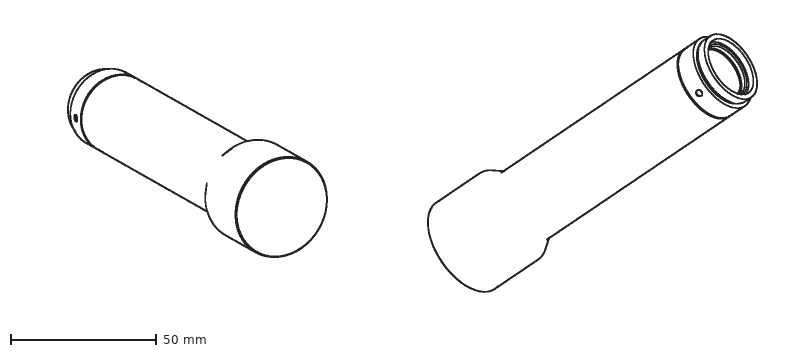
import cadquery as cq

total_length = 131.3
flange_end = 3.4
collar_start = 4.2
collar_end = 11.8
cone_start = 102.4
head_start = 109.1

flange_diameter = 25.5
neck_diameter = 24.7
body_diameter = 28.0
head_diameter = 36.0

joint_chamfer = 0.3
head_chamfer = 0.4
cone_foot_fillet = 1.5
cone_rim_fillet = 1.0

recess_diameter = 21.8
recess_depth = 2.4
window_diameter = 19.2
window_chamfer = 0.5
window_depth = 4.5
window_floor_diameter = 18.4
window_floor_depth = 4.9

screw_count = 3
screw_diameter = 2.4
screw_depth = 0.5
screw_start_angle = 62.3


def cylinder(start, end, diameter):
    """Round bar along X between two positions."""
    return cq.Workplane("YZ", origin=(start, 0, 0)).circle(diameter / 2).extrude(end - start)


def make_collar():
    collar = cylinder(collar_start, collar_end, body_diameter)
    return collar.faces(">X").chamfer(joint_chamfer)


def circle_near(position):
    """Selector for the circular edge at one position along X."""
    reach = head_diameter
    margin = 0.1
    return cq.selectors.BoxSelector(
        (position - margin, -reach, -reach),
        (position + margin, reach, reach),
    )


def make_barrel():
    """Main tube flaring through a cone into the wide head."""
    body_radius = body_diameter / 2
    head_radius = head_diameter / 2
    barrel = (
        cq.Workplane("XY")
        .moveTo(collar_end, 0)
        .lineTo(collar_end, body_radius - joint_chamfer)
        .lineTo(collar_end + joint_chamfer, body_radius)
        .lineTo(cone_start, body_radius)
        .lineTo(head_start, head_radius)
        .lineTo(total_length - head_chamfer, head_radius)
        .lineTo(total_length, head_radius - head_chamfer)
        .lineTo(total_length, 0)
        .close()
        .revolve(360, (0, 0, 0), (1, 0, 0))
    )
    barrel = barrel.edges(circle_near(cone_start)).fillet(cone_foot_fillet)
    return barrel.edges(circle_near(head_start)).fillet(cone_rim_fillet)


def make_recess():
    recess = cylinder(0, recess_depth, recess_diameter)
    window = cylinder(recess_depth, window_depth, window_diameter)
    lead_in = (
        cq.Workplane("YZ", origin=(recess_depth, 0, 0))
        .circle(window_diameter / 2 + window_chamfer)
        .workplane(offset=window_chamfer)
        .circle(window_diameter / 2)
        .loft()
    )
    recess = recess.union(window).union(lead_in)
    return recess.union(cylinder(recess_depth, window_floor_depth, window_floor_diameter))


def make_screw_hole(angle):
    """Radial blind hole; the angle turns from +Y towards +Z."""
    middle = (collar_start + collar_end) / 2
    floor = body_diameter / 2 - screw_depth
    hole = cq.Workplane("XZ", origin=(middle, floor, 0)).circle(screw_diameter / 2)
    return hole.extrude(-2 * screw_depth).rotate((0, 0, 0), (1, 0, 0), angle)


result = cylinder(0, flange_end, flange_diameter)
result = result.union(cylinder(flange_end, collar_start, neck_diameter))
result = result.union(make_collar()).union(make_barrel())
result = result.cut(make_recess())
for index in range(screw_count):
    result = result.cut(make_screw_hole(screw_start_angle + index * 360 / screw_count))